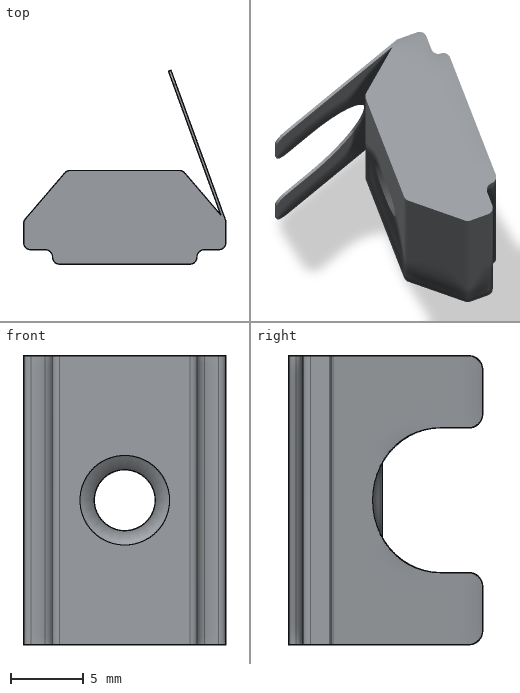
import cadquery as cq
import math

length = 20.0
width = 14.0
body_depth = 6.5
overall_depth = 13.43

neck_width = 10.0
shoulder_y = 3.0
crest_width = 8.0
edge_radius = 0.5
neck_depth = 2 * edge_radius

leaf_thickness = 0.2
leaf_lean = 20.0
leaf_corner_radius = 1.0
notch_radius = 5.0
notch_center_y = 10.5

hole_diameter = 4.2
countersink_diameter = 6.2
countersink_angle = 90.0

half_width = width / 2
half_neck = neck_width / 2
half_crest = crest_width / 2
lean = math.radians(leaf_lean)
leaf_root_y = shoulder_y


def make_body():
    """Stepped and bevelled bar with every lengthwise edge rounded."""
    r = edge_radius
    step_y = neck_depth
    block = (
        cq.Workplane("XY")
        .workplane(offset=-length / 2)
        .moveTo(0, 0)
        .lineTo(half_neck - r, 0)
        .radiusArc((half_neck, r), -r)
        .radiusArc((half_neck + r, step_y), r)
        .lineTo(half_width - r, step_y)
        .radiusArc((half_width, step_y + r), -r)
        .lineTo(half_width, shoulder_y)
        .lineTo(half_crest, body_depth)
        .lineTo(0, body_depth)
        .mirrorY()
        .extrude(length)
    )
    flank_edges = cq.selectors.BoxSelector(
        (-width, shoulder_y - r, -length), (width, body_depth + r, length)
    )
    lengthwise = cq.selectors.ParallelDirSelector(cq.Vector(0, 0, 1))
    return block.edges(lengthwise & flank_edges).fillet(r)


def make_leaf():
    """Thin leaning sheet with a round-bottomed notch between two tongues."""
    along_leaf = cq.Vector(-math.sin(lean), math.cos(lean), 0)
    outward = cq.Vector(math.cos(lean), math.sin(lean), 0)
    leaf_root = cq.Vector(half_width, leaf_root_y, 0)

    def leaf_point(distance, depth):
        """XY point at a distance up the leaf and a depth behind its outer face."""
        point = leaf_root + along_leaf * distance - outward * depth
        return point.x, point.y

    leaf_length = (overall_depth - leaf_root_y) / math.cos(lean)
    notch_height = (notch_center_y - leaf_root_y) / math.cos(lean)

    blend_tangent = edge_radius * math.tan(lean / 2)
    foot_y = leaf_root_y - blend_tangent
    foot_x = half_width + blend_tangent * math.tan(lean) - leaf_thickness / math.cos(lean)
    sheet = (
        cq.Workplane("XY")
        .workplane(offset=-length / 2)
        .moveTo(half_width, foot_y)
        .radiusArc(leaf_point(blend_tangent, 0), -edge_radius)
        .lineTo(*leaf_point(leaf_length, 0))
        .lineTo(*leaf_point(leaf_length, leaf_thickness))
        .lineTo(foot_x, foot_y)
        .close()
        .extrude(length)
    )

    sheet_plane = cq.Plane(origin=leaf_root, xDir=along_leaf, normal=outward)
    notch = (
        cq.Workplane(sheet_plane)
        .moveTo(leaf_length, -notch_radius)
        .lineTo(notch_height, -notch_radius)
        .threePointArc((notch_height - notch_radius, 0), (notch_height, notch_radius))
        .lineTo(leaf_length, notch_radius)
        .close()
        .extrude(-leaf_thickness)
    )
    across_leaf = cq.selectors.ParallelDirSelector(outward)
    near_tip = cq.selectors.BoxSelector(
        (-width, overall_depth - leaf_thickness, -length),
        (width, overall_depth + leaf_thickness, length),
    )
    return sheet.cut(notch).edges(across_leaf & near_tip).fillet(leaf_corner_radius)


def make_screw_hole():
    """Cutter for a through hole with a countersink on the neck face."""
    hole_radius = hole_diameter / 2
    sink_radius = countersink_diameter / 2
    sink_depth = (sink_radius - hole_radius) / math.tan(math.radians(countersink_angle / 2))
    return (
        cq.Workplane("XY")
        .lineTo(sink_radius, 0)
        .lineTo(hole_radius, sink_depth)
        .lineTo(hole_radius, body_depth)
        .lineTo(0, body_depth)
        .close()
        .revolve(360, (0, 0, 0), (0, 1, 0))
    )


result = make_body().cut(make_screw_hole()).union(make_leaf())